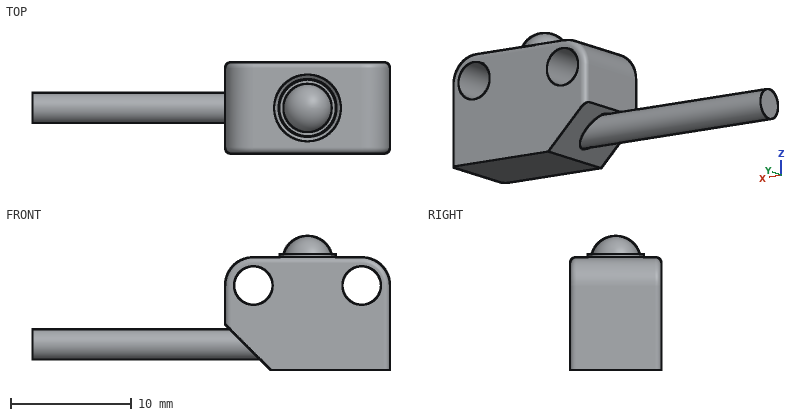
import cadquery as cq
import math

housing_length = 13.72
housing_width = 7.62
housing_height = 9.4
edge_fillet = 0.51
chamfer_length = 3.81

mount_hole_spacing = 9.0
mount_hole_diameter = 3.18
corner_radius = (housing_length - mount_hole_spacing) / 2

overall_length = 29.72
cable_diameter = 2.54
cable_height = 2.15
cable_clearance = 0.06
cable_start = housing_length / 2 - overall_length
cable_end = 0.0
cable_hole_diameter = cable_diameter + 2 * cable_clearance

can_diameter = 4.7
can_projection = 0.25
can_clearance = 0.06
can_seat_depth = 3.0
can_hole_diameter = can_diameter + 2 * can_clearance
countersink_diameter = 5.55
countersink_depth = (countersink_diameter - can_hole_diameter) / 2

overall_height = 11.18
lens_base_diameter = 4.03
can_top = housing_height + can_projection
can_seat = housing_height - can_seat_depth


def make_block():
    """Block with rounded top corners, filleted sides and a sloped cable corner."""
    block = cq.Workplane("XY").box(
        housing_length, housing_width, housing_height, centered=(True, True, False)
    )
    block = block.edges(">Z and |Y").fillet(corner_radius)

    for side in ("<Y", ">Y"):
        rim = block.faces(side).edges("not <Z")
        block = rim.fillet(edge_fillet)

    corner_x = -housing_length / 2
    sloped_corner = (
        cq.Workplane("XZ")
        .moveTo(corner_x, 0)
        .lineTo(corner_x + chamfer_length, 0)
        .lineTo(corner_x, chamfer_length)
        .close()
        .extrude(housing_width / 2, both=True)
    )
    return block.cut(sloped_corner)


def make_mount_holes():
    return (
        cq.Workplane("XZ", origin=(0, 0, housing_height - corner_radius))
        .rarray(mount_hole_spacing, 1, 2, 1)
        .circle(mount_hole_diameter / 2)
        .extrude(housing_width, both=True)
    )


def make_cable_rod(diameter):
    """Rod along X from the free end of the cable to its end inside the housing."""
    return (
        cq.Workplane("YZ", origin=(cable_start, 0, cable_height))
        .circle(diameter / 2)
        .extrude(cable_end - cable_start)
    )


def make_can_pocket():
    """Blind hole for the can, with a conical mouth at the housing top."""
    hole = (
        cq.Workplane("XY", origin=(0, 0, can_seat))
        .circle(can_hole_diameter / 2)
        .extrude(can_seat_depth)
    )
    countersink = (
        cq.Workplane("XY", origin=(0, 0, housing_height - countersink_depth))
        .circle(can_hole_diameter / 2)
        .workplane(offset=countersink_depth)
        .circle(countersink_diameter / 2)
        .loft()
    )
    return hole.union(countersink)


def make_housing():
    housing = make_block()
    housing = housing.cut(make_mount_holes())
    housing = housing.cut(make_cable_rod(cable_hole_diameter))
    return housing.cut(make_can_pocket())


def make_can():
    return (
        cq.Workplane("XY", origin=(0, 0, can_seat))
        .circle(can_diameter / 2)
        .extrude(can_top - can_seat)
    )


def make_lens():
    """Spherical dome resting on the flat top of the can."""
    dome_height = overall_height - can_top
    base_radius = lens_base_diameter / 2
    sphere_radius = (base_radius**2 + dome_height**2) / (2 * dome_height)
    sphere_center = overall_height - sphere_radius
    middle_angle = math.radians(45)
    arc_middle = (
        sphere_radius * math.cos(middle_angle),
        sphere_center + sphere_radius * math.sin(middle_angle),
    )
    return (
        cq.Workplane("XZ")
        .moveTo(0, can_top)
        .lineTo(base_radius, can_top)
        .threePointArc(arc_middle, (0, overall_height))
        .close()
        .revolve(360, (0, 0, 0), (0, 1, 0))
    )


housing = make_housing()
cable = make_cable_rod(cable_diameter)
can = make_can()
lens = make_lens()

result = cq.Compound.makeCompound([housing.val(), cable.val(), can.val(), lens.val()])